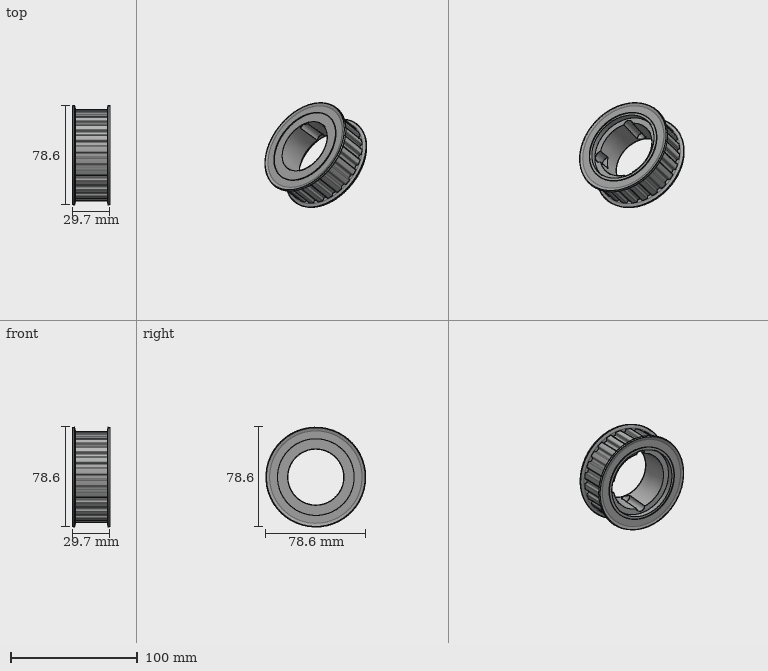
import cadquery as cq
import math

tooth_count = 24
tip_radius = 36.0
groove_depth = 2.1
groove_floor_width = 3.1
groove_wall_angle = 20.0
groove_fillet = 0.5
cut_overshoot = 0.8
rim_half_width = 12.6

hub_radius = 30.2
hub_protrusion = 0.6
recess_radius = 27.9
recess_depth = 4.95
bore_large_radius = 23.25
bore_small_radius = 22.0

flange_radius = 39.3
flange_thickness = 1.6
flange_bend_radius = 36.4
flange_lean = 15.0

hole_circle_radius = 22.2
screw_hole_radius = 3.85
screw_hole_offset = -2.0
screw_hole_depth = 22.2
drill_point_angle = 118.0
jack_hole_radius = 5.0
jack_hole_depth = 11.15

hub_half_length = rim_half_width + flange_thickness + hub_protrusion
hub_face = -hub_half_length + recess_depth


def make_groove():
    """One tooth gap on the +Y side, running the full width of the rim."""
    floor = tip_radius - groove_depth
    half_floor = groove_floor_width / 2
    outside = tip_radius + cut_overshoot
    half_top = half_floor + (outside - floor) * math.tan(math.radians(groove_wall_angle))
    return (
        cq.Workplane("YZ", origin=(-rim_half_width, 0, 0))
        .moveTo(floor, -half_floor)
        .lineTo(outside, -half_top)
        .lineTo(outside, half_top)
        .lineTo(floor, half_floor)
        .close()
        .extrude(2 * rim_half_width)
    )


def make_rim():
    """Toothed ring between the flanges."""
    end_plane = cq.Workplane("YZ", origin=(-rim_half_width, 0, 0))
    teeth = end_plane.circle(tip_radius).extrude(2 * rim_half_width)
    groove = make_groove()
    for i in range(tooth_count):
        teeth = teeth.cut(groove.rotate((0, 0, 0), (1, 0, 0), i * 360 / tooth_count))
    teeth = teeth.edges("|X").fillet(groove_fillet)
    hub_seat = end_plane.circle(hub_radius).extrude(2 * rim_half_width)
    return teeth.cut(hub_seat)


def make_flange():
    """Flange on the -X end."""
    lean = math.radians(flange_lean)
    inner_x = -rim_half_width
    outer_x = inner_x - flange_thickness
    inner_bend_radius = flange_bend_radius + flange_thickness * math.tan(lean / 2)
    inner_tip_x = inner_x - (flange_radius - inner_bend_radius) * math.tan(lean)
    profile = [
        (inner_x, hub_radius),
        (inner_x, inner_bend_radius),
        (inner_tip_x, flange_radius),
        (inner_tip_x - flange_thickness * math.cos(lean), flange_radius - flange_thickness * math.sin(lean)),
        (outer_x, flange_bend_radius),
        (outer_x, hub_radius),
    ]
    return cq.Workplane("XY").polyline(profile).close().revolve(360, (0, 0, 0), (1, 0, 0))


def make_screw_hole(side):
    """Solid of a round hole with a drill point; side is +1 for the upper one and -1 for the lower one."""
    hole_end = hub_face + screw_hole_depth
    point_length = screw_hole_radius / math.tan(math.radians(drill_point_angle / 2))
    profile = [
        (hub_face, 0),
        (hub_face, screw_hole_radius),
        (hole_end, screw_hole_radius),
        (hole_end + point_length, 0),
    ]
    hole = cq.Workplane("XY").polyline(profile).close().revolve(360, (0, 0, 0), (1, 0, 0))
    return hole.translate((0, screw_hole_offset, side * hole_circle_radius))


def make_hub():
    """Sleeve through all the rings, with a drill-pointed hole above and below and a flat jack hole at +Y."""
    profile = [
        (hub_face, bore_large_radius),
        (hub_face, recess_radius),
        (-hub_half_length, recess_radius),
        (-hub_half_length, hub_radius),
        (hub_half_length, hub_radius),
        (hub_half_length, bore_small_radius),
    ]
    hub = cq.Workplane("XY").polyline(profile).close().revolve(360, (0, 0, 0), (1, 0, 0))
    for side in (1, -1):
        hub = hub.cut(make_screw_hole(side))
    jack_hole = (
        cq.Workplane("YZ", origin=(hub_face, hole_circle_radius, 0))
        .circle(jack_hole_radius)
        .extrude(jack_hole_depth)
    )
    return hub.cut(jack_hole)


rim = make_rim()
hub = make_hub()
flange = make_flange()
flanges = [flange, flange.mirror("YZ")]

result = cq.Compound.makeCompound([rim.val(), hub.val(), *[f.val() for f in flanges]])